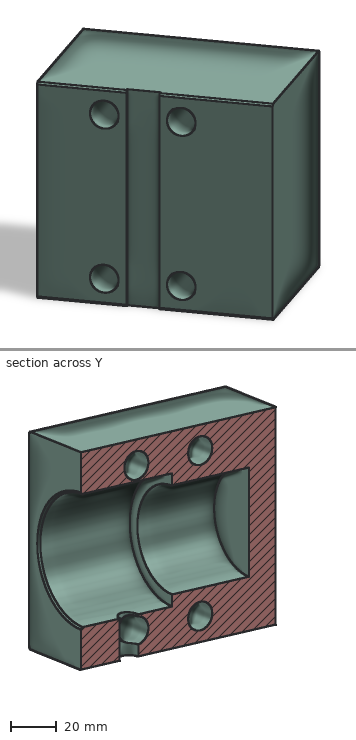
import cadquery as cq

length = 107.0
width = 75.0
height = 100.0
edge_chamfer = 1.0

front_bore_diameter = 61.0
front_bore_depth = 50.0
rear_bore_diameter = 50.0
rear_bore_depth = 92.0
bore_mouth_chamfer = 1.0

key_center_from_open_end = 48.0
key_width = 15.0
key_depth = 2.0
mount_hole_diameter = 13.0
mount_spacing_x = 35.0
mount_spacing_z = 76.0

port_diameter = 10.0
port_from_open_end = 26.5

open_end_x = -length / 2
key_x = open_end_x + key_center_from_open_end
port_x = open_end_x + port_from_open_end


def block():
    """Rectangular block with its four long edges chamfered."""
    return cq.Workplane("XY").box(length, width, height).edges("|X").chamfer(edge_chamfer)


def stepped_bore():
    """Solid of the bore: a wide front part, a narrower rear part and a chamfered mouth."""
    open_end = cq.Workplane("YZ", origin=(open_end_x, 0, 0))
    front = open_end.circle(front_bore_diameter / 2).extrude(front_bore_depth)
    rear = open_end.circle(rear_bore_diameter / 2).extrude(rear_bore_depth)
    mouth_radius = front_bore_diameter / 2 + bore_mouth_chamfer
    mouth = open_end.circle(mouth_radius).extrude(bore_mouth_chamfer, taper=45)
    return front.union(rear).union(mouth)


def keyway():
    """Shallow slot across the full height of the -Y face."""
    return cq.Workplane("XY").box(key_width, 2 * key_depth, height).translate((key_x, -width / 2, 0))


def mount_holes():
    """Four through holes along Y, in a rectangle around the keyway."""
    return (
        cq.Workplane("XZ", origin=(key_x, 0, 0))
        .rect(mount_spacing_x, mount_spacing_z, forConstruction=True)
        .vertices()
        .circle(mount_hole_diameter / 2)
        .extrude(width, both=True)
    )


def port():
    """Vertical hole from the bottom face up to the bore axis."""
    return (
        cq.Workplane("XY", origin=(port_x, 0, -height / 2))
        .circle(port_diameter / 2)
        .extrude(height / 2)
    )


result = block().cut(stepped_bore()).cut(keyway()).cut(mount_holes()).cut(port())